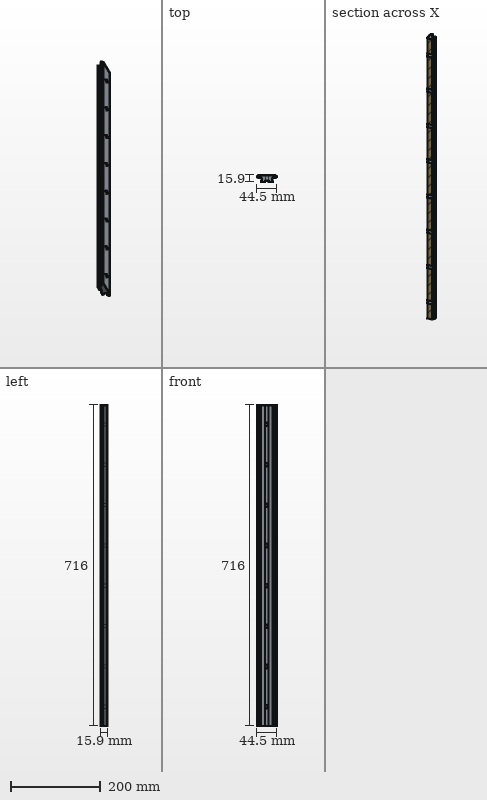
import cadquery as cq
import math

rail_width = 44.45
rail_depth = 15.91
rail_length = 716.0
back_y = rail_depth / 2
front_y = -rail_depth / 2

vee_half_angle = 35.0
vee_width = 4.1
vee_tip_flat = 0.95
vee_tip_x = rail_width / 2
vee_root_x = vee_tip_x - vee_width
vee_rise = vee_width * math.tan(math.radians(vee_half_angle))
vee_back_tip_y = back_y - vee_rise
vee_front_tip_y = vee_back_tip_y - vee_tip_flat
vee_front_y = vee_front_tip_y - vee_rise

relief_outer_x = 16.1
relief_inner_x = 13.0
relief_depth = 1.2
relief_slope_angle = 15.0
relief_outer_y = vee_front_y + relief_depth
relief_drop = (relief_outer_x - relief_inner_x) * math.tan(math.radians(relief_slope_angle))
relief_inner_y = relief_outer_y - relief_drop

neck_x = 11.9
neck_y = -3.85
foot_x = 13.3
foot_height = 1.95
foot_top_y = front_y + foot_height

keyway_half_width = 3.75
keyway_depth = 2.9
keyway_floor_y = front_y + keyway_depth

hole_diameter = 7.1
hole_pitch = 90.0
hole_count = 8


def make_rail():
    """Extrude one half of the section along Z and mirror it across the middle plane."""
    half_section = (
        cq.Workplane("XY")
        .moveTo(0, back_y)
        .lineTo(vee_root_x, back_y)
        .lineTo(vee_tip_x, vee_back_tip_y)
        .lineTo(vee_tip_x, vee_front_tip_y)
        .lineTo(vee_root_x, vee_front_y)
        .lineTo(relief_outer_x, vee_front_y)
        .lineTo(relief_outer_x, relief_outer_y)
        .lineTo(relief_inner_x, relief_inner_y)
        .threePointArc((neck_x, neck_y), (foot_x, foot_top_y))
        .lineTo(foot_x, front_y)
        .lineTo(keyway_half_width, front_y)
        .lineTo(keyway_half_width, keyway_floor_y)
        .lineTo(0, keyway_floor_y)
        .close()
    )
    half_rail = half_section.extrude(rail_length / 2, both=True)
    return half_rail.union(half_rail.mirror("YZ")).clean()


def drill_mounting_holes(body):
    """Drill the row of through holes along the middle of the rail."""
    holes = (
        cq.Workplane("XZ")
        .rarray(1, hole_pitch, 1, hole_count)
        .circle(hole_diameter / 2)
        .extrude(rail_depth, both=True)
    )
    return body.cut(holes)


result = drill_mounting_holes(make_rail())